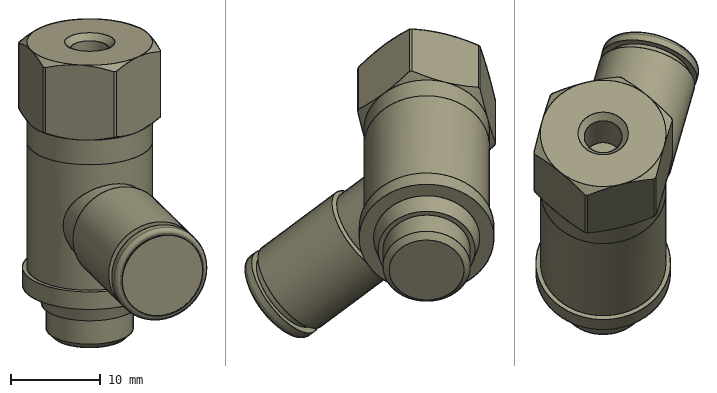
import cadquery as cq
import math


SEAL_BOTTOM = 3.7
SEAL_CONE_HEIGHT = 2.2
WASHER_THICKNESS = 2.1
HOUSING_HEIGHT = 15.05
COLLAR_HEIGHT = 2.95
TOTAL_HEIGHT = 35.0

washer_bottom = SEAL_BOTTOM + SEAL_CONE_HEIGHT
housing_bottom = washer_bottom + WASHER_THICKNESS
housing_top = housing_bottom + HOUSING_HEIGHT
hex_bottom = housing_top + COLLAR_HEIGHT

HEX_WIDTH = 14.0
HEX_CORNER_DIAMETER = 16.0
HEX_CHAMFER_ANGLE = 30.0
STUD_DIAMETER = 9.73
STUD_CHAMFER = 0.7
BORE_DIAMETER = 4.2
BORE_DEPTH = 5.25
COUNTERSINK_DIAMETER = 5.6
COUNTERSINK_ANGLE = 90.0

WASHER_DIAMETER = 15.0
SEAL_TOP_DIAMETER = 11.83
SEAL_BOTTOM_DIAMETER = 10.78

BODY_DIAMETER = 14.0
NECK_DIAMETER = 10.0
NECK_END = 9.03
PORT_DIAMETER = 11.0
PORT_SHOULDER = 0.25
PORT_END = 20.55
port_height = housing_bottom + HOUSING_HEIGHT / 2

GROOVE_DIAMETER = 9.5
GROOVE_WIDTH = 0.95
FLANGE_END = 22.82
FLANGE_ROUNDING = 0.52
LIP_DIAMETER = 9.6
LIP_HEIGHT = 0.18


def cylinder_z(diameter, bottom, top):
    return cq.Workplane("XY").workplane(offset=bottom).circle(diameter / 2).extrude(top - bottom)


def cylinder_x(diameter, start, end):
    plane = cq.Workplane("YZ", origin=(start, 0, port_height))
    return plane.circle(diameter / 2).extrude(end - start)


def revolve_z(profile):
    """Revolve a closed (radius, height) outline around the bolt axis."""
    return cq.Workplane("XZ").polyline(profile).close().revolve(360, (0, 0, 0), (0, 1, 0))


def make_hex_head():
    corner_to_corner = HEX_WIDTH / math.cos(math.radians(30))
    prism = (
        cq.Workplane("XY")
        .workplane(offset=hex_bottom)
        .polygon(6, corner_to_corner)
        .extrude(TOTAL_HEIGHT - hex_bottom)
    )
    flat_radius = HEX_WIDTH / 2
    corner_radius = HEX_CORNER_DIAMETER / 2
    chamfer_height = (corner_radius - flat_radius) * math.tan(math.radians(HEX_CHAMFER_ANGLE))
    turned_blank = revolve_z([
        (0, hex_bottom),
        (flat_radius, hex_bottom),
        (corner_radius, hex_bottom + chamfer_height),
        (corner_radius, TOTAL_HEIGHT - chamfer_height),
        (flat_radius, TOTAL_HEIGHT),
        (0, TOTAL_HEIGHT),
    ])
    return prism.intersect(turned_blank)


def make_bolt():
    collar = cylinder_z(BODY_DIAMETER, housing_top, hex_bottom)
    stud = cylinder_z(STUD_DIAMETER, 0, housing_top).faces("<Z").chamfer(STUD_CHAMFER)
    solid_bolt = make_hex_head().union(collar).union(stud)
    return solid_bolt.faces(">Z").workplane(origin=(0, 0, TOTAL_HEIGHT)).cskHole(
        BORE_DIAMETER, COUNTERSINK_DIAMETER, COUNTERSINK_ANGLE, BORE_DEPTH
    )


def make_sealing_washer():
    bore_radius = STUD_DIAMETER / 2
    return revolve_z([
        (bore_radius, SEAL_BOTTOM),
        (SEAL_BOTTOM_DIAMETER / 2, SEAL_BOTTOM),
        (SEAL_TOP_DIAMETER / 2, washer_bottom),
        (WASHER_DIAMETER / 2, washer_bottom),
        (WASHER_DIAMETER / 2, housing_bottom),
        (bore_radius, housing_bottom),
    ])


def make_housing():
    body = cylinder_z(BODY_DIAMETER, housing_bottom, housing_top)
    neck = cylinder_x(NECK_DIAMETER, 0, NECK_END)
    shoulder_end = NECK_END + PORT_SHOULDER
    shoulder = cq.Workplane(cq.Solid.makeCone(
        NECK_DIAMETER / 2,
        PORT_DIAMETER / 2,
        PORT_SHOULDER,
        pnt=cq.Vector(NECK_END, 0, port_height),
        dir=cq.Vector(1, 0, 0),
    ))
    port = cylinder_x(PORT_DIAMETER, shoulder_end, PORT_END)
    bolt_hole = cylinder_z(STUD_DIAMETER, housing_bottom, housing_top)
    return body.union(neck).union(shoulder).union(port).cut(bolt_hole)


def make_release_ring():
    groove_end = PORT_END + GROOVE_WIDTH
    stem = cylinder_x(GROOVE_DIAMETER, PORT_END, groove_end)
    flange = cylinder_x(PORT_DIAMETER, groove_end, FLANGE_END).faces(">X").edges().fillet(FLANGE_ROUNDING)
    lip = cylinder_x(LIP_DIAMETER, FLANGE_END, FLANGE_END + LIP_HEIGHT)
    return stem.union(flange).union(lip)


bolt = make_bolt()
sealing_washer = make_sealing_washer()
housing = make_housing()
release_ring = make_release_ring()

result = cq.Compound.makeCompound([
    bolt.val(),
    sealing_washer.val(),
    housing.val(),
    release_ring.val(),
])